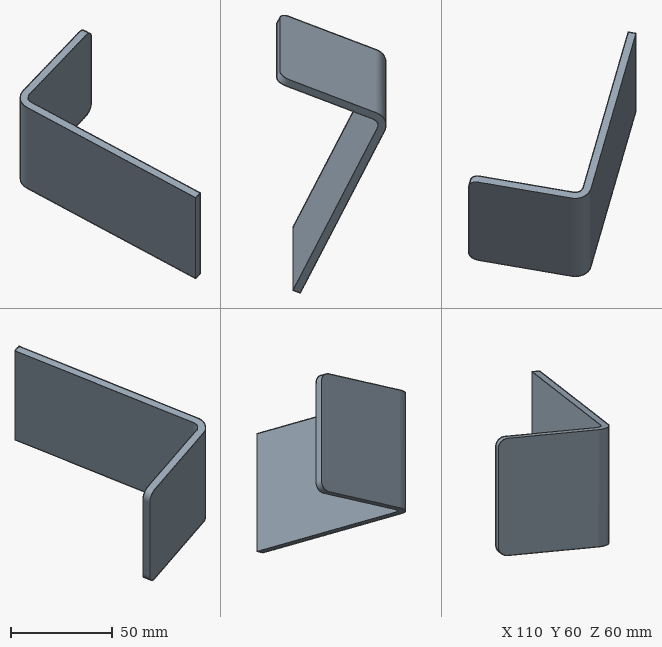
import cadquery as cq

long_leg = 110.0
short_leg = 60.0
height = 60.0

thickness = 4.0
inner_bend_radius = 4.0
outer_bend_radius = inner_bend_radius + thickness

corner_radius = 5.0


def bent_plate():
    """L-shaped sheet, long leg along X and short leg along Y."""
    profile = (
        cq.Workplane("XY")
        .moveTo(outer_bend_radius, 0)
        .lineTo(long_leg, 0)
        .lineTo(long_leg, thickness)
        .lineTo(outer_bend_radius, thickness)
        .radiusArc((thickness, outer_bend_radius), inner_bend_radius)
        .lineTo(thickness, short_leg)
        .lineTo(0, short_leg)
        .lineTo(0, outer_bend_radius)
        .radiusArc((outer_bend_radius, 0), -outer_bend_radius)
        .close()
    )
    return profile.extrude(height)


def round_free_corners(plate):
    """Round the top and bottom corners at the end of the short leg."""
    return plate.faces(">Y").edges("|X").fillet(corner_radius)


result = round_free_corners(bent_plate())